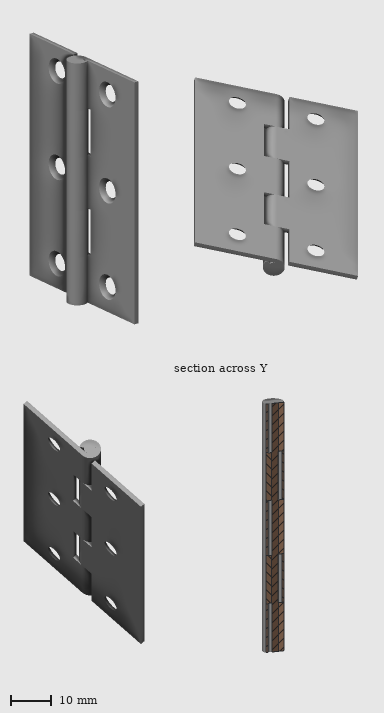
import cadquery as cq
import math


hinge_height = 64.0
hinge_width = 41.5
knuckle_radius = 2.7
leaf_thickness = 1.2

middle_knuckle_height = 14.1
side_knuckle_height = 12.35
notch_edge = 3.25
curl_end_angle = 33.0

hole_offset = 10.0
hole_pitch = 25.5
hole_front_diameter = 6.5
hole_back_diameter = 4.3

pin_radius = knuckle_radius - leaf_thickness
leaf_edge = hinge_width / 2
middle_half = middle_knuckle_height / 2
side_end = middle_half + side_knuckle_height
hinge_end = hinge_height / 2

right_spans = [(-hinge_end, -side_end), (-middle_half, middle_half), (side_end, hinge_end)]
left_spans = [(-side_end, -middle_half), (middle_half, side_end)]


def curl_point(radius, degrees):
    angle = math.radians(degrees)
    return (radius * math.cos(angle), radius * math.sin(angle))


def make_rolled_strip(bottom, top):
    """Leaf strip whose inner end is rolled around the pin."""
    middle_angle = (90 + 360 + curl_end_angle) / 2
    return (
        cq.Workplane("XY", origin=(0, 0, bottom))
        .moveTo(leaf_edge, knuckle_radius)
        .lineTo(0, knuckle_radius)
        .threePointArc(
            curl_point(knuckle_radius, middle_angle),
            curl_point(knuckle_radius, curl_end_angle),
        )
        .lineTo(*curl_point(pin_radius, curl_end_angle))
        .threePointArc(curl_point(pin_radius, middle_angle), (0, pin_radius))
        .lineTo(leaf_edge, pin_radius)
        .close()
        .extrude(top - bottom)
    )


def make_hole_cutter(height):
    """Cone through the leaf, widest on the knuckle side."""
    cone = cq.Solid.makeCone(
        hole_front_diameter / 2,
        hole_back_diameter / 2,
        leaf_thickness,
        pnt=cq.Vector(hole_offset, pin_radius, height),
        dir=cq.Vector(0, 1, 0),
    )
    return cq.Workplane(obj=cone)


def make_leaf(knuckle_spans):
    """Leaf extending toward +X, with a knuckle over each height range."""
    plate_width = leaf_edge - notch_edge
    leaf = cq.Workplane("XY").box(
        plate_width, leaf_thickness, hinge_height, centered=(False, False, True)
    ).translate((notch_edge, pin_radius, 0))
    for bottom, top in knuckle_spans:
        leaf = leaf.union(make_rolled_strip(bottom, top))
    for height in (-hole_pitch, 0, hole_pitch):
        leaf = leaf.cut(make_hole_cutter(height))
    return leaf


def make_pin():
    return cq.Workplane("XY", origin=(0, 0, -hinge_end)).circle(pin_radius).extrude(hinge_height)


right_leaf = make_leaf(right_spans)
left_leaf = make_leaf(left_spans).mirror("YZ")
pin = make_pin()

result = cq.Compound.makeCompound([right_leaf.solids().val(), left_leaf.solids().val(), pin.val()])